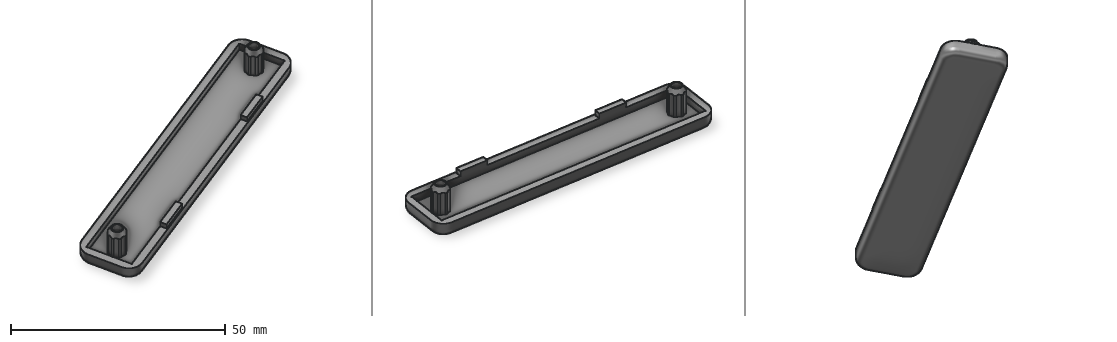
import cadquery as cq
import math

length = 80.0
width = 16.0
tray_height = 4.0
corner_radius = 3.6
bottom_fillet = 2.0
wall = 2.0
pocket_depth = 2.0
floor_z = tray_height - pocket_depth

total_height = 9.5
pin_inset = 6.0
pin_y = length / 2 - pin_inset
flute_count = 8
crest_half_angle = math.radians(8)
pin_radius = 2.3
valley_radius = 2.2
tip_radius = 1.4
tip_height = 1.4
bore_radius = 1.2

tab_length = 7.8
tab_thickness = 1.7
tab_height = 1.4
tab_y = 20.0


def make_tray():
    tray = (
        cq.Workplane("XY")
        .rect(width, length)
        .extrude(tray_height)
        .edges("|Z")
        .fillet(corner_radius)
        .faces("<Z")
        .edges()
        .fillet(bottom_fillet)
    )
    pocket = (
        cq.Workplane("XY", origin=(0, 0, floor_z))
        .rect(width - 2 * wall, length - 2 * wall)
        .extrude(pocket_depth)
    )
    return tray.cut(pocket)


def polar(radius, angle):
    return radius * math.cos(angle), radius * math.sin(angle)


def make_pin():
    """Pin centred on the Z axis, standing on the pocket floor."""
    pitch = 2 * math.pi / flute_count
    outline = cq.Workplane("XY", origin=(0, 0, floor_z)).moveTo(*polar(valley_radius, -pitch / 2))
    for i in range(flute_count):
        angle = i * pitch
        crest_start = polar(pin_radius, angle - crest_half_angle)
        crest_middle = polar(pin_radius, angle)
        crest_end = polar(pin_radius, angle + crest_half_angle)
        outline = outline.lineTo(*crest_start).threePointArc(crest_middle, crest_end)
        if i < flute_count - 1:
            outline = outline.lineTo(*polar(valley_radius, angle + pitch / 2))
    post = outline.close().extrude(total_height - floor_z)

    shoulder_z = total_height - tip_height
    envelope = (
        cq.Workplane("XZ")
        .moveTo(0, floor_z)
        .lineTo(pin_radius, floor_z)
        .lineTo(pin_radius, shoulder_z)
        .lineTo(tip_radius, total_height)
        .lineTo(0, total_height)
        .close()
        .revolve(360, (0, 0, 0), (0, 1, 0))
    )
    bore = cq.Workplane("XY", origin=(0, 0, floor_z)).circle(bore_radius).extrude(total_height - floor_z)
    return post.intersect(envelope).cut(bore)


def make_tab():
    """Tab at Y = 0, resting on the rim."""
    tab_x = width / 2 - wall + tab_thickness / 2
    return (
        cq.Workplane("XY", origin=(tab_x, 0, tray_height))
        .rect(tab_thickness, tab_length)
        .extrude(tab_height)
    )


result = make_tray()
for side in (-1, 1):
    result = result.union(make_pin().translate((0, side * pin_y, 0)))
    result = result.union(make_tab().translate((0, side * tab_y, 0)))